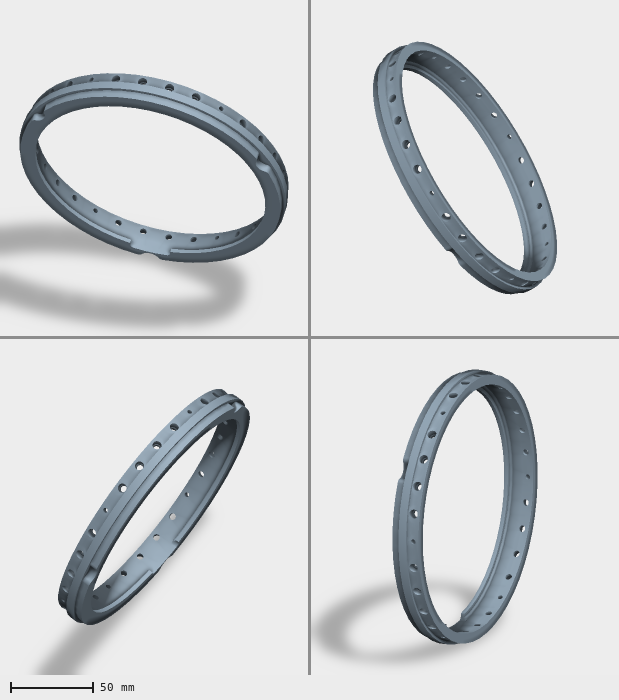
import cadquery as cq
import math

INCH = 25.4

LIP_LENGTH = 0.2 * INCH
FLANGE_LENGTH = 0.2 * INCH
BAND_LENGTH = 0.3 * INCH
FLANGE_BACK = LIP_LENGTH + FLANGE_LENGTH
RING_BACK = FLANGE_BACK + BAND_LENGTH

FLANGE_RADIUS = 3.3 * INCH
LIP_RADIUS = 3.22 * INCH
BAND_EDGE_RADIUS = 82.2
BAND_WAIST_RADIUS = 81.7
BORE_RADIUS = 3.0 * INCH
COLLAR_RADIUS = 2.85 * INCH
COLLAR_LENGTH = 0.1 * INCH
COLLAR_FILLET = 0.0625 * INCH

HOLE_COUNT = 30
HOLE_PITCH = 360 / HOLE_COUNT
FIRST_HOLE_ANGLE = HOLE_PITCH / 2
PIN_HOLE_INTERVAL = 5
PIN_HOLE_OFFSET = 2
PORT_OUTER_DIAMETER = 5.5
PORT_INNER_DIAMETER = 4.0
PORT_COUNTERBORE_DEPTH = 4.0
PORT_SETBACK = 4.3
PIN_HOLE_DIAMETER = 3.0
PIN_HOLE_SETBACK = 3.7

SCALLOP_COUNT = 3
SCALLOP_RADIUS = 0.25 * INCH
SCALLOP_FILLET = 0.125 * INCH

KEYWAY_WIDTH = 25.2
KEYWAY_FILLET = 0.1 * INCH

CUT_MARGIN = 1.0


def make_ring():
    """Revolve the stepped section, without the collar, about the Y axis."""
    return (
        cq.Workplane("XY")
        .moveTo(BORE_RADIUS, 0)
        .lineTo(LIP_RADIUS, 0)
        .lineTo(LIP_RADIUS, LIP_LENGTH)
        .lineTo(FLANGE_RADIUS, LIP_LENGTH)
        .lineTo(FLANGE_RADIUS, FLANGE_BACK)
        .lineTo(BAND_EDGE_RADIUS, FLANGE_BACK)
        .threePointArc(
            (BAND_WAIST_RADIUS, (FLANGE_BACK + RING_BACK) / 2),
            (BAND_EDGE_RADIUS, RING_BACK),
        )
        .lineTo(BORE_RADIUS, RING_BACK)
        .close()
        .revolve(360, (0, 0, 0), (0, 1, 0))
    )


def make_collar():
    """Inward collar at the front, filleted into the bore and interrupted by the keyway at -Z."""
    fillet_end = COLLAR_LENGTH + COLLAR_FILLET
    collar = (
        cq.Workplane("XY")
        .moveTo(COLLAR_RADIUS, 0)
        .lineTo(BORE_RADIUS, 0)
        .lineTo(BORE_RADIUS, fillet_end)
        .radiusArc((BORE_RADIUS - COLLAR_FILLET, COLLAR_LENGTH), -COLLAR_FILLET)
        .lineTo(COLLAR_RADIUS, COLLAR_LENGTH)
        .close()
        .revolve(360, (0, 0, 0), (0, 1, 0))
    )
    half_width = KEYWAY_WIDTH / 2
    floor_corner_z = -math.sqrt(BORE_RADIUS**2 - half_width**2)
    keyway = (
        cq.Workplane("XZ")
        .moveTo(-half_width, 0)
        .lineTo(-half_width, floor_corner_z)
        .threePointArc((0, -BORE_RADIUS), (half_width, floor_corner_z))
        .lineTo(half_width, 0)
        .close()
        .extrude(-fillet_end)
        .edges("|Y")
        .edges("<Z")
        .fillet(KEYWAY_FILLET)
    )
    return collar.cut(keyway)


def turned(shape, angle):
    """Turn a shape about the Y axis; positive angles carry +Z toward +X."""
    return shape.rotate((0, 0, 0), (0, 1, 0), angle)


def radial_cutter(diameter, start_radius, setback):
    """Cylinder along +Z from start_radius out to the flange radius, past the band surface."""
    return (
        cq.Workplane("XY", origin=(0, RING_BACK - setback, start_radius))
        .circle(diameter / 2)
        .extrude(FLANGE_RADIUS - start_radius)
    )


def cut_radial_holes(ring):
    """Counterbored ports, with a plain pin hole at every fifth position."""
    counterbore_floor = BAND_WAIST_RADIUS - PORT_COUNTERBORE_DEPTH
    counterbore = radial_cutter(PORT_OUTER_DIAMETER, counterbore_floor, PORT_SETBACK)
    port = radial_cutter(PORT_INNER_DIAMETER, COLLAR_RADIUS, PORT_SETBACK).union(counterbore)
    pin_hole = radial_cutter(PIN_HOLE_DIAMETER, COLLAR_RADIUS, PIN_HOLE_SETBACK)
    for index in range(HOLE_COUNT):
        is_pin_hole = index % PIN_HOLE_INTERVAL == PIN_HOLE_OFFSET
        cutter = pin_hole if is_pin_hole else port
        ring = ring.cut(turned(cutter, FIRST_HOLE_ANGLE + index * HOLE_PITCH))
    return ring


def make_scallop():
    """Round bite centred on the flange rim at -Z, blended into the lip rim on both sides."""
    blend_distance = LIP_RADIUS - SCALLOP_FILLET
    reach = SCALLOP_RADIUS + SCALLOP_FILLET
    blend_z = (FLANGE_RADIUS**2 + blend_distance**2 - reach**2) / (2 * FLANGE_RADIUS)
    blend_x = math.sqrt(blend_distance**2 - blend_z**2)

    rim_x = blend_x * LIP_RADIUS / blend_distance
    rim_z = blend_z * LIP_RADIUS / blend_distance
    bite_x = blend_x * SCALLOP_RADIUS / reach
    bite_z = FLANGE_RADIUS + (blend_z - FLANGE_RADIUS) * SCALLOP_RADIUS / reach

    toward_x = (rim_x + bite_x) / 2 - blend_x
    toward_z = (rim_z + bite_z) / 2 - blend_z
    stretch = SCALLOP_FILLET / math.hypot(toward_x, toward_z)
    middle_x = blend_x + toward_x * stretch
    middle_z = blend_z + toward_z * stretch

    outside_z = FLANGE_RADIUS + CUT_MARGIN
    return (
        cq.Workplane("XZ")
        .moveTo(-rim_x, -outside_z)
        .lineTo(-rim_x, -rim_z)
        .threePointArc((-middle_x, -middle_z), (-bite_x, -bite_z))
        .threePointArc((0, SCALLOP_RADIUS - FLANGE_RADIUS), (bite_x, -bite_z))
        .threePointArc((middle_x, -middle_z), (rim_x, -rim_z))
        .lineTo(rim_x, -outside_z)
        .close()
        .extrude(-LIP_LENGTH)
    )


def cut_scallops(ring):
    """Cut the scallops at equal angles around the lip, starting at -Z."""
    scallop = make_scallop()
    for index in range(SCALLOP_COUNT):
        ring = ring.cut(turned(scallop, index * 360 / SCALLOP_COUNT))
    return ring


ring = make_ring().union(make_collar())
ring = cut_scallops(ring)
result = cut_radial_holes(ring)